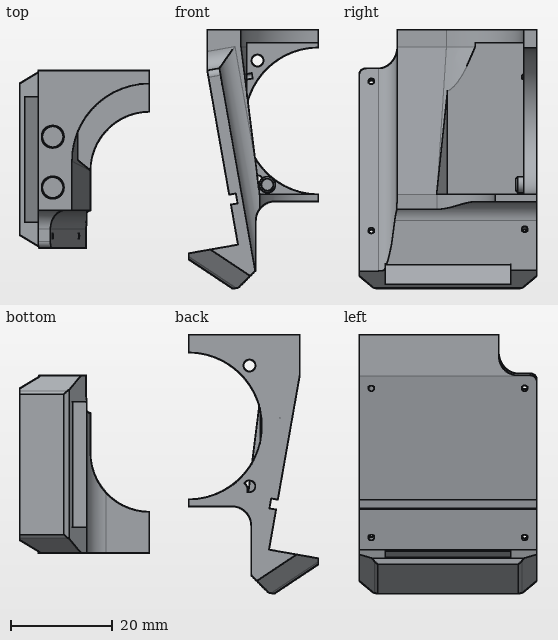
import cadquery as cq
import math

width = 35.0
block_width = 27.5
right_x = 21.9
bottom_z = -51.05
tilt = math.radians(10)
clearance = 30.6

face_top_z = -8.1
lip_corner_z = -42.3
tip_x = -3.7
tip_height = 1.2
foot_x = 5.05
foot_end = (6.1, -50.85)
spine_x = 9.6
spine_bottom_z = -47.35
arm_bottom_z = -33.85
arm_fillet = 3.75

arc_center_y = -17.85
arc_center_z = -17.95
side_arc_radius = 14.45
top_wall_x = 6.65
low_wall_x = 10.3
low_arc_center_y = -19.75
taper_top_z = -3.3
arm_top_z = -32.4
rear_wall = 2.6
top_arm_thickness = 2.6
pocket_x = 7.75
pocket_end_y = -17.6

plate_thickness = 2.45
plate_top_z = -8.0
plate_fillet = 3.75
plate_corner = 1.35
groove_top_z = -32.5
groove_width = 1.95
groove_depth = 1.35

end_bevel_length = 3.0
end_bevel_height = 2.006
edge_bevel_length = 3.7
edge_bevel_height = 0.5
slot_left_x = -2.7
slot_right_x = 4.1
slot_end_margin = 5.15

socket_diameter = 4.1
socket_depth = 7.15
socket_chamfer = 0.18
socket_x = 2.85
socket_ys = (-13.05, -23.05)
wall_hole_diameter = 2.3
wall_hole_x = 9.9
wall_hole_offset = 11.9
screw_diameter = 1.1
screw_depth = 8.6
screw_margin = 2.4
screw_zs = (-10.55, -39.95)
boss_diameter = 3.15
boss_height = 1.55
boss_chamfer = 0.4
boss_x = 11.85
boss_z = -30.5


def face_x(z):
    """X of the sloped face at height z."""
    return (face_top_z - z) * math.tan(tilt)


def lip_z(x):
    """Z of the lip's upper face at x."""
    return lip_corner_z - (face_x(lip_corner_z) - x) * math.tan(tilt)


def side_prism(sketch, y_front, y_back):
    """Extrude a closed XZ sketch between two Y positions."""
    return sketch.extrude(y_back - y_front).translate((0, y_back, 0))


def face_plane(z, y=0):
    """Plane on the sloped face: local x to -Y, local y down the face, normal into the part."""
    return cq.Plane(
        origin=(face_x(z), y, z), xDir=(0, -1, 0), normal=(math.cos(tilt), 0, math.sin(tilt))
    )


tip_bottom = (tip_x, lip_z(tip_x) - tip_height)
foot_slope = math.atan2(tip_bottom[1] - bottom_z, foot_x - tip_x)


def make_envelope():
    outline = (
        cq.Workplane("XZ")
        .moveTo(0, 0)
        .lineTo(0, face_top_z)
        .lineTo(face_x(lip_corner_z), lip_corner_z)
        .lineTo(tip_x, lip_z(tip_x))
        .lineTo(*tip_bottom)
        .lineTo(foot_x, bottom_z)
        .lineTo(*foot_end)
        .lineTo(spine_x, spine_bottom_z)
        .lineTo(spine_x, arm_bottom_z - arm_fillet)
        .radiusArc((spine_x + arm_fillet, arm_bottom_z), arm_fillet)
        .lineTo(right_x, arm_bottom_z)
        .lineTo(right_x, 0)
        .close()
    )
    return side_prism(outline, -width, 0)


def opening_wire(workplane, wall_x, center_y):
    """Straight wall running into a quarter arc that ends at the arm tips."""
    radius = right_x - wall_x
    middle = radius * math.sqrt(0.5)
    return (
        workplane.moveTo(wall_x, -width - 0.5)
        .lineTo(wall_x, center_y)
        .threePointArc((right_x - middle, center_y + middle), (right_x, center_y + radius))
        .lineTo(right_x + 0.5, center_y + radius)
        .lineTo(right_x + 0.5, -width - 0.5)
        .close()
    )


def make_opening():
    top_plane = cq.Workplane("XY", origin=(0, 0, taper_top_z))
    low_plane = cq.Workplane("XY", origin=(0, 0, arm_top_z))
    upper = opening_wire(top_plane, top_wall_x, arc_center_y).extrude(-taper_top_z)
    lower = opening_wire(low_plane, low_wall_x, low_arc_center_y)
    lower = lower.extrude(arm_bottom_z - arm_fillet - arm_top_z)
    taper = opening_wire(top_plane, top_wall_x, arc_center_y).workplane(offset=arm_top_z - taper_top_z)
    taper = opening_wire(taper, low_wall_x, low_arc_center_y).loft(ruled=True)
    return upper.union(taper).union(lower)


def make_pocket():
    """Space between the arms, ahead of the rear wall."""
    return (
        cq.Workplane("XY", origin=(0, 0, arm_top_z))
        .polyline([
            (pocket_x, -rear_wall),
            (pocket_x, pocket_end_y),
            (low_wall_x, low_arc_center_y),
            (right_x + 0.5, low_arc_center_y),
            (right_x + 0.5, -rear_wall),
        ])
        .close()
        .extrude(-top_arm_thickness - arm_top_z)
    )


def make_side_trim():
    """Material to remove beside the block, leaving the plate and its concave fillets."""
    side_width = width - block_width
    bounds = cq.Workplane("XY").box(2 * clearance, side_width, -bottom_z, centered=(True, False, False))
    bounds = bounds.translate((0, -width, bottom_z))
    plate = (
        cq.Workplane(face_plane(plate_top_z))
        .workplane(offset=-clearance)
        .moveTo(block_width - 0.5, -plate_fillet)
        .lineTo(block_width, -plate_fillet)
        .radiusArc((block_width + plate_fillet, 0), plate_fillet)
        .lineTo(width - plate_corner, 0)
        .radiusArc((width, plate_corner), -plate_corner)
        .lineTo(width, -2 * bottom_z)
        .lineTo(block_width - 0.5, -2 * bottom_z)
        .close()
        .extrude(2 * clearance)
    )
    section_plane = cq.Plane(
        origin=(face_x(plate_top_z), 0, plate_top_z),
        xDir=(0, -1, 0),
        normal=(-math.sin(tilt), 0, math.cos(tilt)),
    )
    section = (
        cq.Workplane(section_plane)
        .workplane(offset=2 * bottom_z)
        .moveTo(block_width - 0.5, -clearance)
        .lineTo(width, -clearance)
        .lineTo(width, plate_thickness)
        .lineTo(block_width + plate_fillet, plate_thickness)
        .radiusArc((block_width, plate_thickness + plate_fillet), plate_fillet)
        .lineTo(block_width - 0.5, plate_thickness + plate_fillet)
        .close()
        .extrude(clearance - 2 * bottom_z)
    )
    return bounds.cut(plate.intersect(section))


def make_groove():
    return (
        cq.Workplane(face_plane(groove_top_z))
        .workplane(offset=-0.5)
        .center(width / 2, groove_width / 2)
        .rect(width + 1, groove_width)
        .extrude(groove_depth + 0.5)
    )


def make_lip_slot():
    """Channel through the lip, parallel to its underside."""
    reach = spine_x + 0.5 - slot_left_x
    start = [(x, lip_z(x)) for x in (slot_left_x, slot_right_x)]
    drop = reach * math.tan(foot_slope)
    (left, left_z), (right, right_z) = start
    outline = cq.Workplane("XZ").polyline([
        (left, left_z),
        (left + reach, left_z - drop),
        (right + reach, right_z - drop),
        (right, right_z),
        (right, right_z + 0.5),
        (left, left_z + 0.5),
    ]).close()
    return side_prism(outline, -width + slot_end_margin, -slot_end_margin)


def make_end_bevels():
    """Two-step bevels at the lip's ends, running along its sloped underside."""
    plane = cq.Plane(
        origin=(tip_bottom[0], 0, tip_bottom[1]),
        xDir=(0, -1, 0),
        normal=(-math.cos(foot_slope), 0, math.sin(foot_slope)),
    )
    profile = [
        (-0.5, end_bevel_height * (1.959 + 1 / end_bevel_length)),
        (end_bevel_length, edge_bevel_height),
        (edge_bevel_length, 0),
        (edge_bevel_length, -1),
        (-0.5, -1),
    ]
    bevel = cq.Workplane(plane).polyline(profile).close().extrude(clearance, both=True)
    return bevel.union(bevel.mirror("XZ", (0, -width / 2, 0)))


def make_sockets():
    sockets = cq.Workplane("XY").pushPoints([(socket_x, y) for y in socket_ys])
    bores = sockets.circle(socket_diameter / 2).extrude(-socket_depth)
    mouth = cq.Workplane("XY").circle(socket_diameter / 2 + socket_chamfer)
    mouth = mouth.extrude(-socket_chamfer, taper=45)
    for y in socket_ys:
        bores = bores.union(mouth.translate((socket_x, y, 0)))
    return bores


def make_rear_wall_cuts():
    arc = cq.Workplane("XZ").center(right_x, arc_center_z).circle(side_arc_radius).extrude(rear_wall)
    centers = [(wall_hole_x, arc_center_z + side * wall_hole_offset) for side in (1, -1)]
    holes = cq.Workplane("XZ").pushPoints(centers).circle(wall_hole_diameter / 2).extrude(rear_wall)
    return arc.union(holes)


def cut_screw_holes(body):
    for z in screw_zs:
        for y in (-screw_margin, screw_margin - width):
            hole = cq.Workplane(face_plane(z, y)).circle(screw_diameter / 2).extrude(screw_depth)
            body = body.cut(hole)
    return body


def make_boss():
    return (
        cq.Workplane("XZ")
        .center(boss_x, boss_z)
        .circle(boss_diameter / 2)
        .extrude(rear_wall + boss_height)
        .faces("<Y")
        .chamfer(boss_chamfer)
    )


body = make_envelope()
for cutter in (
    make_opening(),
    make_pocket(),
    make_side_trim(),
    make_rear_wall_cuts(),
    make_groove(),
    make_lip_slot(),
    make_end_bevels(),
    make_sockets(),
):
    body = body.cut(cutter)
result = cut_screw_holes(body).union(make_boss())